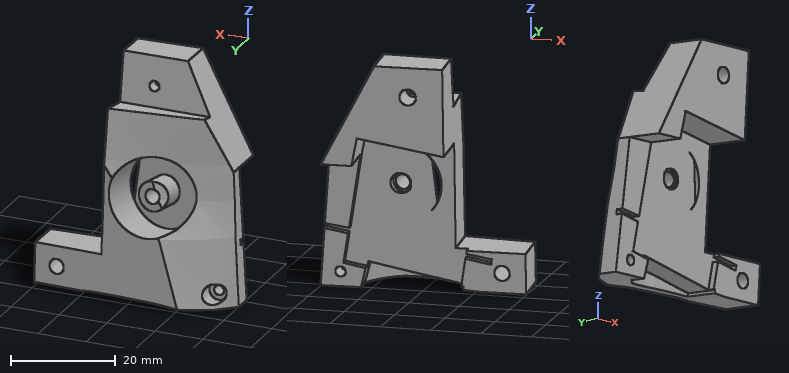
import cadquery as cq

LEAN_X = 3.5
TURN_Z = 2.5
REACH = 56.25

BLOCK_FRONT = 2.25
PAD_FRONT = 9.85
FLOOR_DEPTH = 1.4
FLOOR = PAD_FRONT + FLOOR_DEPTH
ARCH_DEPTH = 5.63

BODY_RIGHT = 27.0
BLOCK_TOP = 46.3
BLOCK_BOTTOM = 26.05
BLOCK_LEFT = 2.75
BLOCK_TOP_LEFT = 13.55
LEG_RIGHT = 41.05
LEG_TOP = 7.9
LEG_BOTTOM = -0.2
FOOT_LEFT = 0.6
FOOT_BOTTOM = -0.6

STEP_TOP = (8.2, 46.9)
STEP_CORNER = (10.13, 36.9)
STEP_BACK = (16.5, 38.05)

RECESS_CENTER = (16.15, 11.9, 21.1)
RECESS_AXIS = (0.14, 1.0, 0.08)
RECESS_DIAMETER = 15.65
BOSS_DIAMETER = 6.0
BOSS_HEIGHT = 5.15
BOSS_HOLE = 3.0
BOSS_COUNTERBORE = 4.0
COUNTERBORE_END = -0.25

BLOCK_HOLE = (20.1, 40.4)
BLOCK_HOLE_DIAMETER = 2.0
BLOCK_COUNTERBORE = 3.2
BLOCK_COUNTERBORE_DEPTH = 5.63
LEG_HOLE = (36.4, 3.8)
LEG_HOLE_DIAMETER = 3.0
FOOT_HOLE = (4.6, 2.4)
FOOT_HOLE_DIAMETER = 2.0
FOOT_COUNTERBORE = 4.0
FOOT_COUNTERBORE_START = 14.55


def prism(points, front, back):
    """Extrude an X-Z outline between two depths."""
    plane = cq.Workplane("XZ", origin=(0, front, 0))
    return plane.polyline(points).close().extrude(front - back)


def hole(center, diameter, front, back):
    """Cylinder along the depth direction."""
    plane = cq.Workplane("XZ", origin=(0, front, 0))
    return plane.center(*center).circle(diameter / 2).extrude(front - back)


def pose(shape):
    """Move from the square frame to the leaned and turned one."""
    leaned = shape.rotate((0, 0, 0), (1, 0, 0), LEAN_X)
    return leaned.rotate((0, 0, 0), (0, 0, 1), TURN_Z)


def body():
    outline = [
        (FOOT_LEFT, FOOT_BOTTOM), (8.7, -0.55), (15.45, -0.05), (22.5, 0.05), (28.75, 0.05),
        (31.4, LEG_BOTTOM), (LEG_RIGHT, LEG_BOTTOM), (LEG_RIGHT, LEG_TOP),
        (BODY_RIGHT, LEG_TOP), (BODY_RIGHT, BLOCK_TOP),
        (BLOCK_TOP_LEFT, BLOCK_TOP), (BLOCK_LEFT, BLOCK_BOTTOM),
    ]
    return prism(outline, PAD_FRONT, REACH)


def block():
    outline = [
        (BLOCK_LEFT, BLOCK_BOTTOM), (BODY_RIGHT, BLOCK_BOTTOM), (BODY_RIGHT, BLOCK_TOP),
        (BLOCK_TOP_LEFT, BLOCK_TOP),
    ]
    return prism(outline, BLOCK_FRONT, FLOOR)


def extend(start, end, factor):
    """Point on the line from start through end, at a multiple of their distance."""
    return tuple(a + (b - a) * factor for a, b in zip(start, end))


def back_step():
    """Space behind the block and above the body, straight across the width."""
    high = extend(STEP_CORNER, STEP_TOP, 2)
    rear = extend(STEP_CORNER, STEP_BACK, 2)
    side = [high, STEP_CORNER, rear, (rear[0], high[1])]
    return cq.Workplane("YZ", origin=(-REACH, 0, 0)).polyline(side).close().extrude(2 * REACH)


def beyond_slant():
    """Space to the left of the slanted block side, above its lower corner."""
    slope = (BLOCK_TOP - BLOCK_BOTTOM) / (BLOCK_TOP_LEFT - BLOCK_LEFT)
    top_x = BLOCK_LEFT + (REACH - BLOCK_BOTTOM) / slope
    return prism([(BLOCK_LEFT, BLOCK_BOTTOM), (top_x, REACH), (-REACH, REACH),
                  (-REACH, BLOCK_BOTTOM)], 0, REACH)


def front_pocket():
    """Tilted pocket with slots running into the foot and leg pads."""
    outline = [
        (10.0, 31.65), (37.5, 27.15), (37.5, 9.38), (29.45, 9.38), (29.45, 7.3), (34.4, 6.45),
        (34.2, 5.45), (29.2, 6.35), (28.3, 0.65), (10.25, 4.13), (10.0, 3.3),
        (5.2, 4.15), (6.2, 10.13), (-0.45, 11.3), (-0.45, 12.2), (6.4, 11.25), (8.85, 26.05),
    ]
    return prism(outline, 0, FLOOR)


def arch_pocket():
    """Deeper relief below the pocket floor, rounded at its left end."""
    low_left, high_left, right = 7.6, 9.8, 28.75
    low, left_height, right_height = -4.7, 4.3, 0.7
    back = FLOOR + ARCH_DEPTH
    corner = (low_left + ARCH_DEPTH * 0.6, FLOOR + ARCH_DEPTH * 0.7)
    plan = (cq.Workplane("XY", origin=(0, 0, low)).moveTo(low_left, 0).lineTo(right, 0)
            .lineTo(right, back).lineTo(low_left + ARCH_DEPTH * 2, back)
            .threePointArc(corner, (low_left, FLOOR)).close().extrude(REACH))
    outline = [(low_left, low), (right, low), (right, right_height), (high_left, left_height)]
    below = prism(outline, 0, REACH)
    return plan.intersect(below)


def hull():
    """Trimming body with a twisting left flank and a back that closes in upwards."""
    sections = [
        (-2.35, (-0.45, 13.95), (2.95, 18.2), (8.65, 21.8), 20.05),
        (14.05, (-0.45, 11.95), (5.63, 16.17), (14.05, 20.15), 18.75),
        (21.1, (-0.45, 11.05), (9.38, 15.0), (21.55, 19.2), 18.05),
        (28.15, (-0.45, 10.2), (9.38, 13.9), (26.95, 18.65), 17.6),
        (39.85, (-0.45, 9.6), (9.6, 13.2), (26.95, 16.4), 15.45),
        (49.22, (-0.45, 9.15), (9.6, 12.65), (26.95, 14.55), 13.6),
    ]
    far_right = 44.55
    front = -4.7
    slices = []
    for height, start, ridge, end, back in sections:
        points = [(start[0], front), start, ridge, end, (far_right, back), (far_right, front)]
        slices.append(cq.Wire.makePolygon([cq.Vector(x, y, height) for x, y in points], close=True))
    return cq.Workplane(cq.Solid.makeLoft(slices, True))


def along_recess(diameter, start, end):
    """Cylinder on the recess axis, measured from the recess floor."""
    axis = cq.Vector(*RECESS_AXIS).normalized()
    base = cq.Vector(*RECESS_CENTER) + axis * start
    return cq.Workplane(cq.Solid.makeCylinder(diameter / 2, end - start, base, axis))


def screw_holes():
    holes = hole(BLOCK_HOLE, BLOCK_HOLE_DIAMETER, 0, REACH)
    bore_end = BLOCK_FRONT + BLOCK_COUNTERBORE_DEPTH
    holes = holes.union(hole(BLOCK_HOLE, BLOCK_COUNTERBORE, 0, bore_end))
    holes = holes.union(hole(LEG_HOLE, LEG_HOLE_DIAMETER, 0, REACH))
    holes = holes.union(hole(FOOT_HOLE, FOOT_HOLE_DIAMETER, 0, REACH))
    return holes.union(hole(FOOT_HOLE, FOOT_COUNTERBORE, FOOT_COUNTERBORE_START, REACH))


bracket = body().union(block()).cut(beyond_slant())
bracket = bracket.cut(front_pocket()).cut(arch_pocket()).cut(screw_holes())
bracket = pose(bracket).cut(back_step()).intersect(hull())

recess = along_recess(RECESS_DIAMETER, 0, REACH)
boss = along_recess(BOSS_DIAMETER, 0, BOSS_HEIGHT)
bracket = bracket.cut(recess.cut(boss))
bracket = bracket.cut(along_recess(BOSS_HOLE, -RECESS_DIAMETER, REACH))
bracket = bracket.cut(along_recess(BOSS_COUNTERBORE, -RECESS_DIAMETER, COUNTERBORE_END))

result = bracket